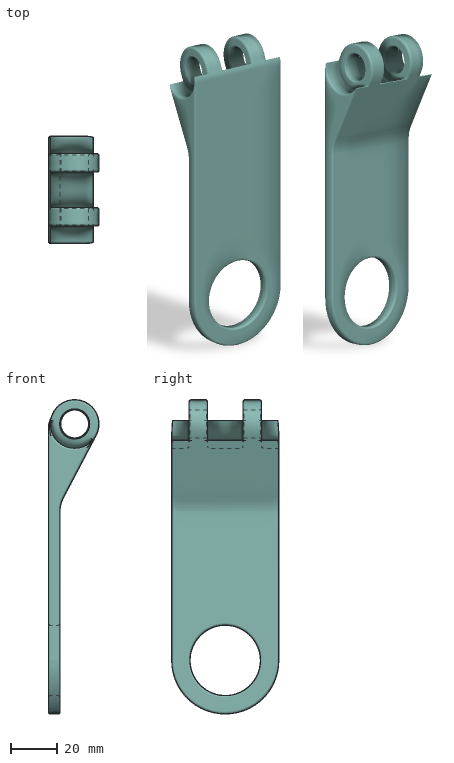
import math
import cadquery as cq

plate_thickness = 5.0
plate_width = 46.3
overall_depth = 21.82
overall_height = 135.7
plate_hole_diameter = 30.3
edge_radius = 1.0

barrel_radius = 10.5
pin_hole_diameter = 12.0
pin_hole_chamfer = 0.5
knuckle_width = 8.0
knuckle_inset = 7.5

saddle_radius = barrel_radius
tip_turn = math.radians(14)

outer_lean = math.radians(22)
outer_blend_radius = 5.8
inner_lean = math.radians(27.7)
inner_blend_radius = 12.5

half_width = plate_width / 2
axis_x = overall_depth - barrel_radius
axis_z = overall_height - half_width - barrel_radius
knuckle_offset = half_width - knuckle_inset - knuckle_width / 2
knuckle_centres = (-knuckle_offset, knuckle_offset)
round_offset = edge_radius * (1 - math.sqrt(0.5))


def along_y(sketch, y_start, y_end):
    """Extrude an XZ outline from y_start to y_end."""
    return sketch.extrude(y_start - y_end).translate((0, y_start, 0))


def on_ray(radius, angle):
    """XZ point at a radius from the hinge axis and an angle above +X."""
    return (axis_x + radius * math.cos(angle), axis_z + radius * math.sin(angle))


def side_profile(y_start, y_end):
    """Plate, tapered neck and round barrel as one prism along Y."""
    outer_tangent = on_ray(barrel_radius, math.pi - outer_lean)
    inner_tangent = on_ray(barrel_radius, -inner_lean)
    outer_knee_z = outer_tangent[1] - outer_tangent[0] / math.tan(outer_lean)
    inner_knee_z = inner_tangent[1] - (inner_tangent[0] - plate_thickness) / math.tan(inner_lean)

    prism = along_y(
        cq.Workplane("XZ")
        .moveTo(0, -half_width)
        .lineTo(0, outer_knee_z)
        .lineTo(*outer_tangent)
        .threePointArc(on_ray(barrel_radius, math.pi / 4), inner_tangent)
        .lineTo(plate_thickness, inner_knee_z)
        .lineTo(plate_thickness, -half_width)
        .close(),
        y_start,
        y_end,
    )

    def knee_edge(x, z):
        return cq.selectors.NearestToPointSelector((x, (y_start + y_end) / 2, z))

    prism = prism.edges("|Y").edges(knee_edge(0, outer_knee_z)).fillet(outer_blend_radius)
    return prism.edges("|Y").edges(knee_edge(plate_thickness, inner_knee_z)).fillet(inner_blend_radius)


def rounded_plate():
    """Full-width prism with a semicircular lower end and rounded rims."""
    outline = (
        cq.Workplane("YZ")
        .moveTo(-half_width, overall_height)
        .lineTo(-half_width, 0)
        .threePointArc((0, -half_width), (half_width, 0))
        .lineTo(half_width, overall_height)
        .close()
        .extrude(overall_depth)
    )
    plate = side_profile(-half_width, half_width).intersect(outline)
    return plate.faces("<Y").edges("not |X").fillet(edge_radius)


def plate_hole():
    """Cutter for the large hole, widening at both mouths with a convex round."""
    radius = plate_hole_diameter / 2
    mouth = radius + edge_radius
    section = (
        cq.Workplane("XY")
        .moveTo(0, 0)
        .lineTo(0, mouth)
        .threePointArc((round_offset, radius + round_offset), (edge_radius, radius))
        .lineTo(plate_thickness - edge_radius, radius)
        .threePointArc((plate_thickness - round_offset, radius + round_offset), (plate_thickness, mouth))
        .lineTo(plate_thickness, 0)
        .close()
    )
    return section.revolve(360, (0, 0, 0), (1, 0, 0))


def about_axis(section):
    """Revolve a section drawn as (radius, y) about the hinge axis."""
    return section.revolve(360, (0, 0, 0), (0, 1, 0)).translate((axis_x, 0, axis_z))


def saddle():
    """Cutter for the trough around the hinge axis, flared at both ends."""
    flare = saddle_radius + edge_radius
    shoulder = half_width - edge_radius
    return about_axis(
        cq.Workplane("XY")
        .moveTo(0, -half_width)
        .lineTo(flare, -half_width)
        .threePointArc((saddle_radius + round_offset, round_offset - half_width), (saddle_radius, -shoulder))
        .lineTo(saddle_radius, shoulder)
        .threePointArc((saddle_radius + round_offset, half_width - round_offset), (flare, half_width))
        .lineTo(0, half_width)
        .close()
    )


def knuckle(y_centre):
    """Hinge knuckle with rounded rims; its neck is buried in the plate."""
    y_start = y_centre - knuckle_width / 2
    y_end = y_centre + knuckle_width / 2
    neck_length = 2 * barrel_radius
    head_region = cq.Workplane("XY").box(
        overall_depth, plate_width, neck_length + barrel_radius, centered=(False, True, False)
    ).translate((0, 0, axis_z - neck_length))
    lug = side_profile(y_start, y_end).faces("<Y").edges().fillet(edge_radius)
    lug = lug.faces(">Y").edges().fillet(edge_radius)
    return lug.intersect(head_region)


def knuckle_root(face_y, outward):
    """Concave blend between a knuckle face and the saddle."""
    return about_axis(
        cq.Workplane("XY")
        .moveTo(saddle_radius, face_y)
        .lineTo(saddle_radius, face_y + outward * edge_radius)
        .threePointArc(
            (saddle_radius - round_offset, face_y + outward * round_offset),
            (saddle_radius - edge_radius, face_y),
        )
        .close()
    )


def saddle_sector():
    """Prism over the plate and neck, bounded above by the two blunt saddle tips."""
    reach = 2 * barrel_radius
    outer_end = on_ray(reach, math.pi - outer_lean + tip_turn)
    inner_end = on_ray(reach, -inner_lean - tip_turn)
    return along_y(
        cq.Workplane("XZ")
        .moveTo(axis_x, axis_z)
        .lineTo(*outer_end)
        .lineTo(outer_end[0], -half_width)
        .lineTo(inner_end[0], -half_width)
        .lineTo(*inner_end)
        .close(),
        -half_width,
        half_width,
    )


def pin_hole(y_centre):
    """Cutter for the pin bore of one knuckle, chamfered at both mouths."""
    radius = pin_hole_diameter / 2
    mouth = radius + pin_hole_chamfer
    half = knuckle_width / 2
    bore = (
        cq.Workplane("XY")
        .moveTo(0, -half)
        .lineTo(mouth, -half)
        .lineTo(radius, pin_hole_chamfer - half)
        .lineTo(radius, half - pin_hole_chamfer)
        .lineTo(mouth, half)
        .lineTo(0, half)
        .close()
    )
    return about_axis(bore).translate((0, y_centre, 0))


def link():
    """Plate with its hole, saddle and pair of hinge knuckles."""
    plate = rounded_plate().intersect(saddle_sector())
    body = plate.cut(saddle())
    for y_centre in knuckle_centres:
        body = body.union(knuckle(y_centre))
        for outward in (-1, 1):
            face_y = y_centre + outward * knuckle_width / 2
            body = body.union(knuckle_root(face_y, outward).intersect(plate))
    for y_centre in knuckle_centres:
        body = body.cut(pin_hole(y_centre))
    return body.cut(plate_hole())


result = link()